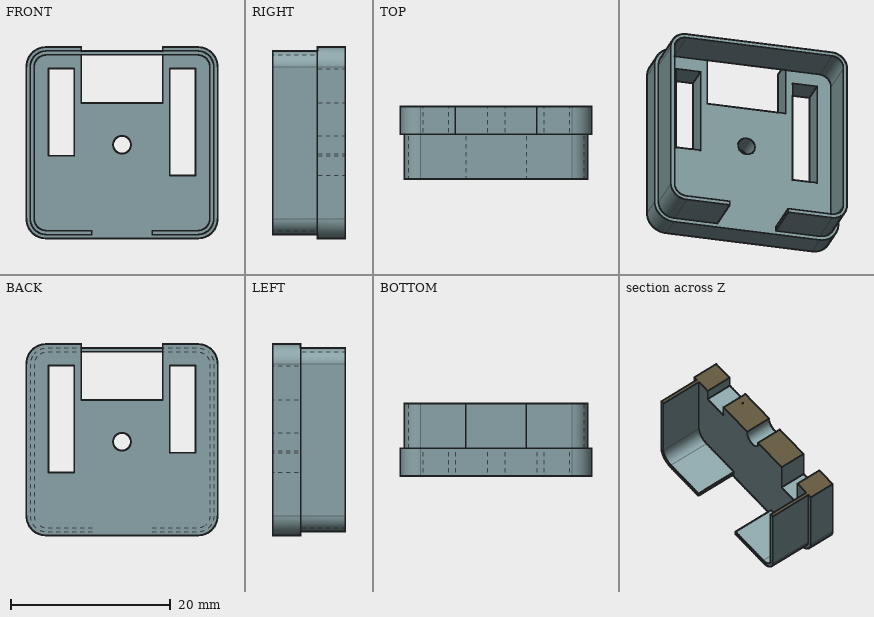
import cadquery as cq

side = 24.0
corner_radius = 2.5
base_thickness = 3.5
total_depth = 9.11

wall_inset = 0.5
wall_thickness = 0.5
wall_gap_width = 7.6

notch_width = 10.2
notch_depth = 7.0

slot_width = 3.2
slot_side_margin = 2.8
slot_top_margin = 2.7
left_slot_length = 10.9
right_slot_length = 13.4

hole_diameter = 2.2
hole_z = -0.25

half_side = side / 2
base_front_y = -base_thickness
wall_height = total_depth - base_thickness
slot_x = half_side - slot_side_margin - slot_width / 2


def box(width, depth, height, x, back_y, top_z):
    """Box centred on x that runs forward (-Y) from back_y and down from top_z."""
    solid = cq.Workplane("XY").box(width, depth, height)
    return solid.translate((x, back_y - depth / 2, top_z - height / 2))


def rounded_square(inset, back_y, depth):
    """Plate outline moved inward by inset and extruded forward (-Y) from back_y."""
    size = side - 2 * inset
    plate = cq.Workplane("XZ", origin=(0, back_y, 0)).rect(size, size).extrude(depth)
    return plate.edges("|Y").fillet(corner_radius - inset)


def make_wall():
    """Rounded square ring with a gap in the middle of its bottom side."""
    outer = rounded_square(wall_inset, base_front_y, wall_height)
    inner = rounded_square(wall_inset + wall_thickness, base_front_y, wall_height)
    wall_bottom_z = -half_side + wall_inset
    gap_top_z = wall_bottom_z + wall_thickness
    gap = box(wall_gap_width, wall_height, wall_thickness, 0, base_front_y, gap_top_z)
    return outer.cut(inner).cut(gap)


def make_slot(x, length):
    """Cutter for a vertical slot through the base."""
    return box(slot_width, base_thickness, length, x, 0, half_side - slot_top_margin)


def make_base():
    """Plate with the top notch, both slots and the round hole."""
    notch = box(notch_width, base_thickness, notch_depth, 0, 0, half_side)
    hole_plane = cq.Workplane("XZ", origin=(0, 0, hole_z))
    hole = hole_plane.circle(hole_diameter / 2).extrude(base_thickness)
    base = rounded_square(0, 0, base_thickness).cut(notch).cut(hole)
    for x, length in ((-slot_x, left_slot_length), (slot_x, right_slot_length)):
        base = base.cut(make_slot(x, length))
    return base


result = make_base().union(make_wall())